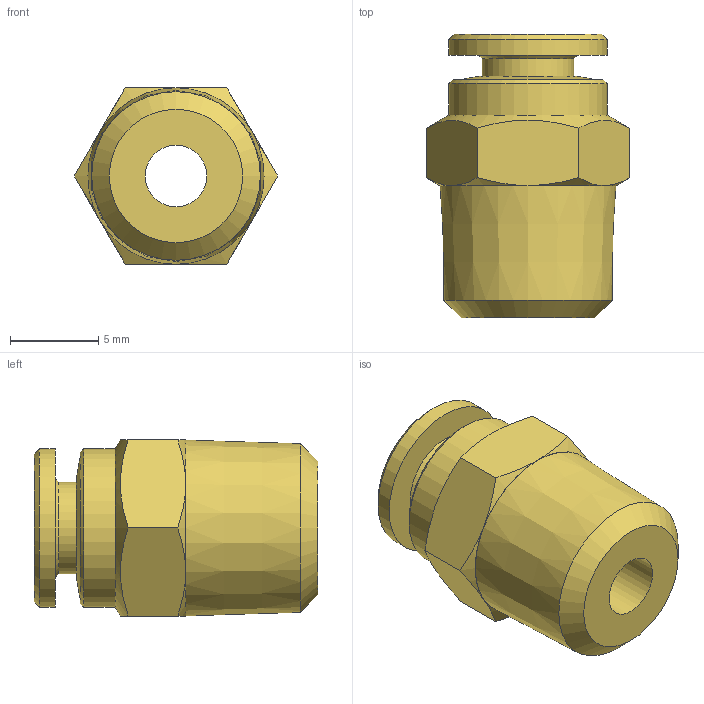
import cadquery as cq
import math


THREAD_CHAMFER = 1.0
HEX_START = 7.5
HEX_LENGTH = 4.0
COLLAR_LENGTH = 2.0
CROWN_HEIGHT = 0.2
FLARE_START = 14.7
FLANGE_START = 14.9
TOTAL_LENGTH = 16.1

GAUGE_RADIUS = 9.728 / 2
GAUGE_PLANE = 3.5
RADIUS_TAPER = 1 / 32

ACROSS_FLATS = 10.0
HEX_CHAMFER_ANGLE = math.radians(30)
ENVELOPE_MARGIN = 0.1

COLLAR_RADIUS = 4.5
COLLAR_CHAMFER = 0.2
CROWN_BASE_RADIUS = 4.0
CROWN_TOP_RADIUS = 2.8
NECK_RADIUS = 2.6
FLARE_RADIUS = 2.8
FLANGE_RADIUS = 4.5
FLANGE_CHAMFER = 0.3
BORE_RADIUS = 1.75

HEX_END = HEX_START + HEX_LENGTH
COLLAR_END = HEX_END + COLLAR_LENGTH
CROWN_END = COLLAR_END + CROWN_HEIGHT


def thread_radius(y):
    return GAUGE_RADIUS + (y - GAUGE_PLANE) * RADIUS_TAPER


def revolve_profile(points):
    """Revolve a closed (radius, y) outline about the Y axis."""
    return cq.Workplane("ZY").polyline(points).close().revolve(360, (0, 0), (0, 1))


def make_thread():
    chamfer_radius = thread_radius(THREAD_CHAMFER)
    return revolve_profile([
        (0, 0),
        (chamfer_radius - THREAD_CHAMFER, 0),
        (chamfer_radius, THREAD_CHAMFER),
        (thread_radius(HEX_START), HEX_START),
        (0, HEX_START),
    ])


def make_hex():
    """Hexagon with corners on X, its ends turned down by conical chamfers."""
    corner_radius = ACROSS_FLATS / 2 / math.cos(math.pi / 6)
    prism = (
        cq.Workplane("XZ", origin=(0, HEX_END, 0))
        .polygon(6, 2 * corner_radius)
        .extrude(HEX_LENGTH)
    )
    front_radius = ACROSS_FLATS / 2
    rear_radius = COLLAR_RADIUS
    slope = math.tan(HEX_CHAMFER_ANGLE)
    envelope_radius = corner_radius + ENVELOPE_MARGIN
    envelope = revolve_profile([
        (0, HEX_START),
        (front_radius, HEX_START),
        (envelope_radius, HEX_START + (envelope_radius - front_radius) * slope),
        (envelope_radius, HEX_END - (envelope_radius - rear_radius) * slope),
        (rear_radius, HEX_END),
        (0, HEX_END),
    ])
    return prism.intersect(envelope)


def make_collar():
    """Round collar with a chamfered rim and a shallow conical crown."""
    return revolve_profile([
        (0, HEX_END),
        (COLLAR_RADIUS, HEX_END),
        (COLLAR_RADIUS, COLLAR_END - COLLAR_CHAMFER),
        (COLLAR_RADIUS - COLLAR_CHAMFER, COLLAR_END),
        (CROWN_BASE_RADIUS, COLLAR_END),
        (CROWN_TOP_RADIUS, CROWN_END),
        (0, CROWN_END),
    ])


def make_release_button():
    """Neck flaring into the push flange."""
    return revolve_profile([
        (0, CROWN_END),
        (NECK_RADIUS, CROWN_END),
        (NECK_RADIUS, FLARE_START),
        (FLARE_RADIUS, FLANGE_START),
        (FLANGE_RADIUS, FLANGE_START),
        (FLANGE_RADIUS, TOTAL_LENGTH - FLANGE_CHAMFER),
        (FLANGE_RADIUS - FLANGE_CHAMFER, TOTAL_LENGTH),
        (0, TOTAL_LENGTH),
    ])


def make_bore():
    return (
        cq.Workplane("XZ", origin=(0, TOTAL_LENGTH, 0))
        .circle(BORE_RADIUS)
        .extrude(TOTAL_LENGTH)
    )


body = make_thread().union(make_hex()).union(make_collar()).union(make_release_button())
result = body.cut(make_bore())